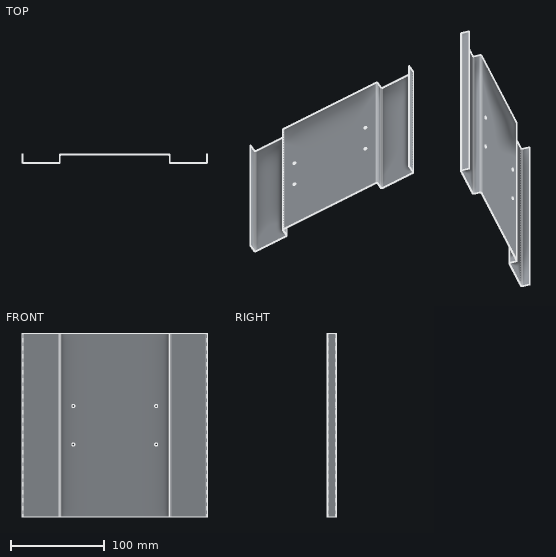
import cadquery as cq

width = 198.0
depth = 10.0
height = 196.0

thickness = 0.912
inner_bend_radius = 0.7366
outer_bend_radius = inner_bend_radius + thickness

web_width = 118.17

hole_diameter = 3.0
hole_spacing_x = 88.2
hole_spacing_z = 41.0

front_y = -depth / 2
strip_back_y = front_y + thickness
back_y = depth / 2
web_front_y = back_y - thickness

flange_outer = width / 2
flange_inner = flange_outer - thickness
wall_outer = web_width / 2
wall_inner = wall_outer - thickness


def plate(x_min, x_max, y_min, y_max):
    """Full-height box between the given X and Y limits."""
    return (
        cq.Workplane("XY")
        .box(x_max - x_min, y_max - y_min, height, centered=False)
        .translate((x_min, y_min, -height / 2))
    )


def round_edge(body, x, y, radius):
    """Round the vertical edge at the given X, Y position."""
    return body.edges(cq.selectors.NearestToPointSelector((x, y, 0))).fillet(radius)


def sharp_half():
    """The +X half of the sheet with square corners, cut at the middle plane."""
    web = plate(0, wall_outer, web_front_y, back_y)
    step_wall = plate(wall_inner, wall_outer, front_y, back_y)
    front_strip = plate(wall_inner, flange_outer, front_y, strip_back_y)
    side_flange = plate(flange_inner, flange_outer, front_y, back_y)
    return web.union(step_wall).union(front_strip).union(side_flange)


def bent_half():
    """The +X half of the sheet with its three bends rounded."""
    bends = [
        ((flange_outer, front_y), (flange_inner, strip_back_y)),
        ((wall_inner, front_y), (wall_outer, strip_back_y)),
        ((wall_outer, back_y), (wall_inner, web_front_y)),
    ]
    body = sharp_half()
    for outer_corner, inner_corner in bends:
        body = round_edge(body, *outer_corner, outer_bend_radius)
        body = round_edge(body, *inner_corner, inner_bend_radius)
    return body


def bent_sheet():
    """Both halves of the sheet, mirrored about the middle plane."""
    half = bent_half()
    return half.union(half.mirror("YZ")).clean()


def mounting_holes():
    """Four cylinders that cut the holes through the web along Y."""
    return (
        cq.Workplane("XZ", origin=(0, back_y, 0))
        .rarray(hole_spacing_x, hole_spacing_z, 2, 2)
        .circle(hole_diameter / 2)
        .extrude(thickness)
    )


result = bent_sheet().cut(mounting_holes())